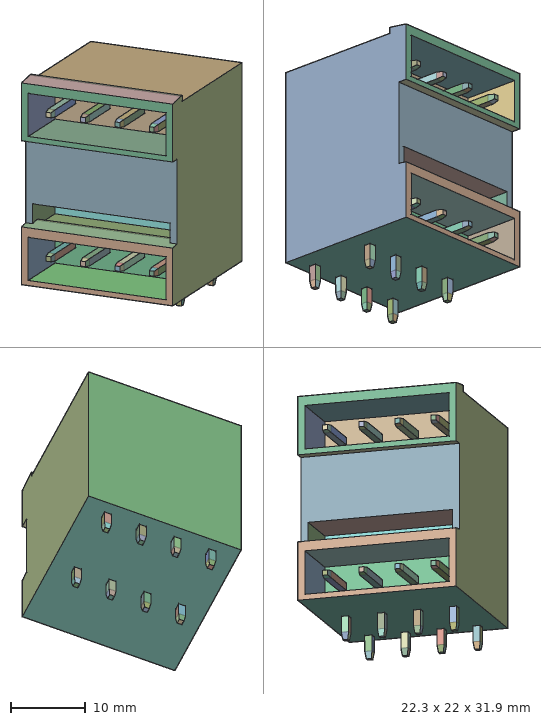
import cadquery as cq


ways = 4
pitch = 5.08
row_rise = 20.2

side_wall = 1.0
inner_width = ways * pitch
width = inner_width + 2 * side_wall
depth = 22.0

shelf_height = 7.65
lip_height = 8.48
nose_height = 8.12
lip_slope_depth = 2.6
lip_depth = 3.05
recess_depth = 1.36

socket_floor = 0.74
socket_height = 6.04
socket_depth = 8.5
latch_pocket_top = 11.1
latch_pocket_depth = socket_depth

pin_size = 1.02
pin_tip_size = 0.7
pin_tip_length = 1.0
pin_height = 3.8
pin_front = 1.0
solder_length = 3.2
lower_leg_y = 9.92
upper_leg_y = 19.92


def extrude_across(profile, across):
    """Extrude a closed (Y, Z) outline symmetrically about X = 0."""
    return cq.Workplane("YZ").polyline(profile).close().extrude(across / 2, both=True)


def row_section(bottom):
    """Side section of one row: a block with a sloped latch lip on its top front edge."""
    return [
        (0, bottom),
        (0, bottom + nose_height),
        (lip_slope_depth, bottom + lip_height),
        (lip_depth, bottom + lip_height),
        (lip_depth, bottom + shelf_height),
        (depth, bottom + shelf_height),
        (depth, bottom),
    ]


def box_between(across, y_range, z_range):
    """Box centred on X = 0 that spans the given Y and Z ranges."""
    (y0, y1), (z0, z1) = y_range, z_range
    block = cq.Workplane("XY").box(across, y1 - y0, z1 - z0, centered=(True, False, False))
    return block.translate((0, y0, z0))


def make_shell():
    """Housing without the channels that hold the pins."""
    middle = box_between(width, (recess_depth, depth), (0, row_rise))
    latch_pocket = box_between(
        inner_width, (0, latch_pocket_depth), (shelf_height, latch_pocket_top)
    )
    shell = middle.cut(latch_pocket)
    for bottom in (0, row_rise):
        shell = shell.union(extrude_across(row_section(bottom), width))
    for bottom in (0, row_rise):
        floor = bottom + socket_floor
        shell = shell.cut(box_between(inner_width, (0, socket_depth), (floor, floor + socket_height)))
    return shell


def tapered_tip():
    """Pin end on the XY plane, narrowing along +Z."""
    return (
        cq.Workplane("XY")
        .rect(pin_size, pin_size)
        .workplane(offset=pin_tip_length)
        .rect(pin_tip_size, pin_tip_size)
        .loft(combine=True)
    )


def make_pin(x, leg_y, contact_z):
    """Right-angle pin: a contact toward the mating face and a solder leg down through the base."""
    half = pin_size / 2
    contact_shoulder = pin_front + pin_tip_length
    leg_shoulder = pin_tip_length - solder_length
    contact = box_between(
        pin_size, (contact_shoulder, leg_y + half), (contact_z - half, contact_z + half)
    )
    leg = box_between(pin_size, (leg_y - half, leg_y + half), (leg_shoulder, contact_z + half))
    contact_tip = tapered_tip().rotate((0, 0, 0), (1, 0, 0), 90).translate((0, contact_shoulder, contact_z))
    leg_tip = tapered_tip().rotate((0, 0, 0), (1, 0, 0), 180).translate((0, leg_y, leg_shoulder))
    pin = contact.union(leg).union(contact_tip).union(leg_tip)
    return pin.translate((x, 0, 0))


pins = []
for way in range(ways):
    pin_x = (way - (ways - 1) / 2) * pitch
    pins.append(make_pin(pin_x, lower_leg_y, pin_height))
    pins.append(make_pin(pin_x, upper_leg_y, row_rise + pin_height))

housing = make_shell()
for pin in pins:
    housing = housing.cut(pin)

result = cq.Compound.makeCompound([housing.solids().val(), *[pin.solids().val() for pin in pins]])